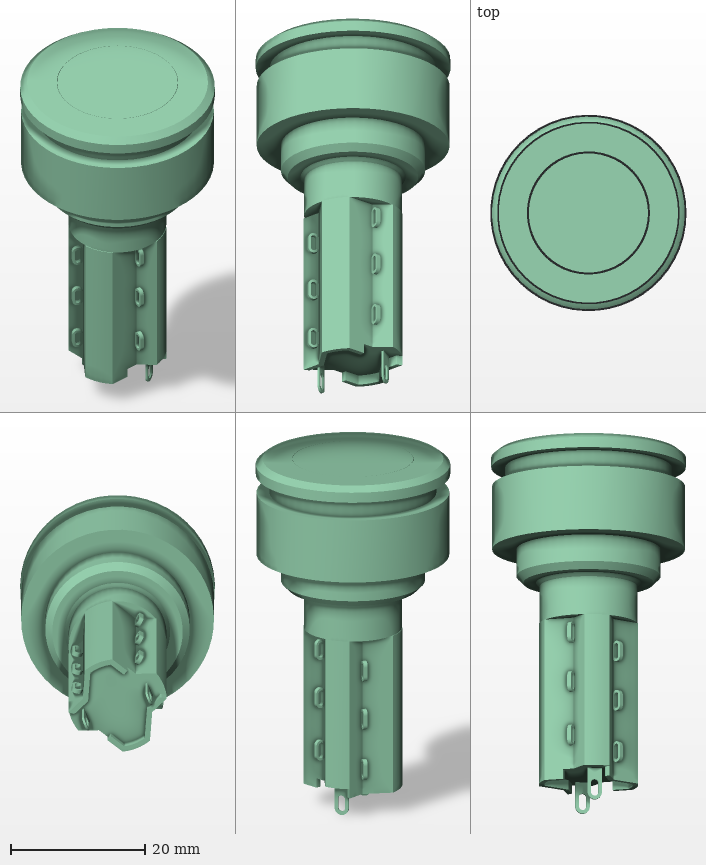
import cadquery as cq
import math

TOTAL_HEIGHT = 54.05
FLANGE_BOTTOM = 51.65
NUT_TOP = 48.85
NUT_BOTTOM = 39.15
BARREL_BOTTOM = 34.1
SEAT_BOTTOM = 33.55
LOBES_TOP = 27.75
CAVITY_TOP = 4.75
LOBES_BOTTOM = 3.3

FLANGE_DIAMETER = 29.0
NECK_DIAMETER = 24.9
NUT_DIAMETER = 28.75
BARREL_DIAMETER = 21.5
BORE_DIAMETER = 18.1
FLANGE_CHAMFER_WIDTH = 1.0
FLANGE_CHAMFER_HEIGHT = 0.8
BARREL_CHAMFER = 1.0

CAP_DIAMETER = 18.0
STEM_DIAMETER = 14.6
CAP_RADIUS = CAP_DIAMETER / 2
STEM_RADIUS = STEM_DIAMETER / 2
SEAT_TOP = SEAT_BOTTOM + CAP_RADIUS - STEM_RADIUS
LOBE_RADIUS = 7.4
X_LOBE_HALF_WIDTH = 1.9
Y_LOBE_HALF_WIDTH = 2.2
NOTCH_X = 4.3
NOTCH_Y = 3.0
X_LOBE_EDGE = math.sqrt(LOBE_RADIUS**2 - X_LOBE_HALF_WIDTH**2)
Y_LOBE_EDGE = math.sqrt(LOBE_RADIUS**2 - Y_LOBE_HALF_WIDTH**2)
NOTCH_ANGLE = math.degrees(math.atan2(NOTCH_Y, NOTCH_X))

WALL = 0.8
MITRE_ANGLE = 39.0
OPENING_REACH = 1.7
CLEARANCE = 4.3

EYELET_WIDTH = 1.6
EYELET_HEIGHT = 3.15
EYELET_RIM = 0.4
EYELET_THICKNESS = 0.6
EYELET_OUTER_RADIUS = 6.9
LOW_EYELET_HEIGHTS = (22.75, 15.25, 7.4)
HIGH_EYELET_HEIGHTS = (25.4, 17.9, 9.7)

TERMINAL_OFFSET = 5.15
TERMINAL_WIDTH = 2.15
TERMINAL_THICKNESS = 0.3
TERMINAL_HOLE_WIDTH = 1.15
TERMINAL_HOLE_LENGTH = 2.5
TERMINAL_HOLE_BOTTOM = 0.55


def revolved(profile):
    """Turn a list of (radius, height) points around the Z axis."""
    return cq.Workplane("XZ").polyline(profile).close().revolve(360, (0, 0), (0, 1))


def make_housing():
    """Flange, neck, nut and barrel, with a bore that narrows to a conical seat."""
    flange_radius = FLANGE_DIAMETER / 2
    neck_radius = NECK_DIAMETER / 2
    nut_radius = NUT_DIAMETER / 2
    barrel_radius = BARREL_DIAMETER / 2
    bore_radius = BORE_DIAMETER / 2
    opening_radius = STEM_RADIUS + BARREL_BOTTOM - SEAT_BOTTOM
    return revolved([
        (bore_radius, TOTAL_HEIGHT),
        (flange_radius - FLANGE_CHAMFER_WIDTH, TOTAL_HEIGHT),
        (flange_radius, TOTAL_HEIGHT - FLANGE_CHAMFER_HEIGHT),
        (flange_radius, FLANGE_BOTTOM),
        (neck_radius, FLANGE_BOTTOM),
        (neck_radius, NUT_TOP),
        (nut_radius, NUT_TOP),
        (nut_radius, NUT_BOTTOM),
        (barrel_radius, NUT_BOTTOM),
        (barrel_radius, BARREL_BOTTOM + BARREL_CHAMFER),
        (barrel_radius - BARREL_CHAMFER, BARREL_BOTTOM),
        (opening_radius, BARREL_BOTTOM),
        (CAP_RADIUS, SEAT_TOP),
        (bore_radius, SEAT_TOP),
    ])


def make_cap_and_stem():
    """Round upper part of the insert, with the cone that rests on the housing seat."""
    return revolved([
        (0, TOTAL_HEIGHT),
        (CAP_RADIUS, TOTAL_HEIGHT),
        (CAP_RADIUS, SEAT_TOP),
        (STEM_RADIUS, SEAT_BOTTOM),
        (STEM_RADIUS, LOBES_TOP),
        (0, LOBES_TOP),
    ])


def lobed_prism(bottom, top, inset):
    """Upright prism with four arc-faced lobes and a V notch between each two, moved inward by the inset."""
    outline = (
        cq.Workplane("XY", origin=(0, 0, bottom))
        .moveTo(X_LOBE_EDGE, -X_LOBE_HALF_WIDTH)
        .threePointArc((LOBE_RADIUS, 0), (X_LOBE_EDGE, X_LOBE_HALF_WIDTH))
        .lineTo(NOTCH_X, NOTCH_Y)
        .lineTo(Y_LOBE_HALF_WIDTH, Y_LOBE_EDGE)
        .threePointArc((0, LOBE_RADIUS), (-Y_LOBE_HALF_WIDTH, Y_LOBE_EDGE))
        .lineTo(-NOTCH_X, NOTCH_Y)
        .lineTo(-X_LOBE_EDGE, X_LOBE_HALF_WIDTH)
        .threePointArc((-LOBE_RADIUS, 0), (-X_LOBE_EDGE, -X_LOBE_HALF_WIDTH))
        .lineTo(-NOTCH_X, -NOTCH_Y)
        .lineTo(-Y_LOBE_HALF_WIDTH, -Y_LOBE_EDGE)
        .threePointArc((0, -LOBE_RADIUS), (Y_LOBE_HALF_WIDTH, -Y_LOBE_EDGE))
        .lineTo(NOTCH_X, -NOTCH_Y)
        .close()
    )
    if inset > 0:
        outline = outline.offset2D(-inset, "intersection")
    return outline.extrude(top - bottom)


def make_wall_opening(turn):
    """Tool for the gap in the wall from the -X lobe to past the notch beside it, turned about Z."""
    mitre = cq.Vector(math.cos(math.radians(MITRE_ANGLE)), math.sin(math.radians(MITRE_ANGLE)))
    lobe_end = cq.Vector(-X_LOBE_EDGE, -X_LOBE_HALF_WIDTH)
    along_face = cq.Vector(NOTCH_X - Y_LOBE_HALF_WIDTH, Y_LOBE_EDGE - NOTCH_Y).normalized()
    inward = cq.Vector(along_face.y, -along_face.x)
    face_end = cq.Vector(-NOTCH_X, NOTCH_Y) + along_face * OPENING_REACH
    corners = [
        lobe_end - mitre * CLEARANCE,
        lobe_end + mitre * WALL,
        cq.Vector(0, 0),
        face_end + inward * WALL,
        face_end - inward * CLEARANCE,
    ]
    return (
        cq.Workplane("XY", origin=(0, 0, LOBES_BOTTOM))
        .polyline([(corner.x, corner.y) for corner in corners])
        .close()
        .extrude(CAVITY_TOP - LOBES_BOTTOM)
        .rotate((0, 0, 0), (0, 0, 1), turn)
    )


def make_lobed_stem():
    """Four-lobed lower stem, hollow at its lower end, with two opposite openings in the wall."""
    stem = lobed_prism(LOBES_BOTTOM, LOBES_TOP, 0)
    stem = stem.cut(lobed_prism(LOBES_BOTTOM, CAVITY_TOP, WALL))
    for turn in (0, 180):
        stem = stem.cut(make_wall_opening(turn))
    return stem


def make_eyelet(angle, height):
    """Upright obround ring in the radial plane at the given angle."""
    center = EYELET_OUTER_RADIUS - EYELET_WIDTH / 2
    return (
        cq.Workplane("XZ")
        .center(center, height)
        .slot2D(EYELET_HEIGHT, EYELET_WIDTH, 90)
        .slot2D(EYELET_HEIGHT - 2 * EYELET_RIM, EYELET_WIDTH - 2 * EYELET_RIM, 90)
        .extrude(EYELET_THICKNESS / 2, both=True)
        .rotate((0, 0, 0), (0, 0, 1), angle)
    )


def make_terminal(x):
    """Flat tongue under the cavity ceiling, with a round tip and an obround hole."""
    tip_center = TERMINAL_WIDTH / 2
    shank = cq.Workplane("YZ", origin=(x, 0, 0)).center(0, (CAVITY_TOP + tip_center) / 2)
    shank = shank.rect(TERMINAL_WIDTH, CAVITY_TOP - tip_center).extrude(TERMINAL_THICKNESS / 2, both=True)
    tip = cq.Workplane("YZ", origin=(x, 0, 0)).center(0, tip_center).circle(TERMINAL_WIDTH / 2)
    tip = tip.extrude(TERMINAL_THICKNESS / 2, both=True)
    hole = cq.Workplane("YZ", origin=(x, 0, 0)).center(0, TERMINAL_HOLE_BOTTOM + TERMINAL_HOLE_LENGTH / 2)
    hole = hole.slot2D(TERMINAL_HOLE_LENGTH, TERMINAL_HOLE_WIDTH, 90).extrude(TERMINAL_THICKNESS, both=True)
    return shank.union(tip).cut(hole)


def make_button_insert():
    """Cap, stem, lobes, eyelets and terminals, all in one piece."""
    insert = make_cap_and_stem().union(make_lobed_stem())
    eyelet_rows = (
        (NOTCH_ANGLE, LOW_EYELET_HEIGHTS),
        (180 - NOTCH_ANGLE, HIGH_EYELET_HEIGHTS),
        (180 + NOTCH_ANGLE, LOW_EYELET_HEIGHTS),
        (-NOTCH_ANGLE, HIGH_EYELET_HEIGHTS),
    )
    for angle, heights in eyelet_rows:
        for height in heights:
            insert = insert.union(make_eyelet(angle, height))
    for x in (-TERMINAL_OFFSET, TERMINAL_OFFSET):
        insert = insert.union(make_terminal(x))
    return insert


housing = make_housing()
button_insert = make_button_insert()
result = cq.Compound.makeCompound([housing.val(), button_insert.solids().val()])